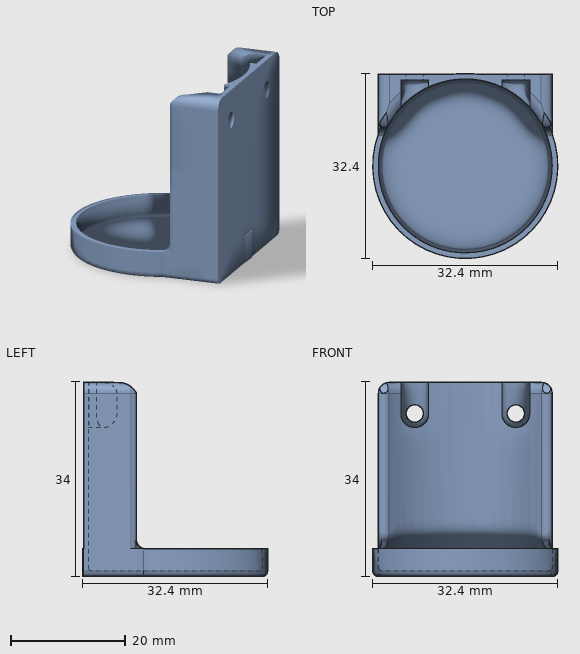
import cadquery as cq
import math

height = 34.0
tray_radius = 16.2
wall = 1.0
tray_height = 4.9
floor_thickness = 1.0
floor_fillet = 0.6
bottom_fillet = 1.0
back_y = 16.05
tip_radius = 1.0
tip_base_fillet = 1.5
top_fillet = 1.95
nose_back_y = 10.2
nose_sag = 0.78
slot_x = 8.85
slot_width = 4.9
slot_web = 1.0
hole_diameter = 3.0
hole_z = 28.52
clearance = 0.35

bore_radius = tray_radius - wall
half_width = bore_radius

tip_x = half_width - tip_radius
tip_y = math.sqrt((bore_radius + tip_radius) ** 2 - tip_x ** 2)


def cylinder(radius, bottom, top):
    return cq.Workplane("XY").workplane(offset=bottom).circle(radius).extrude(top - bottom)


def make_base():
    """Solid tray disc joined to the foot of the plate, rounded below except at the back."""
    side_end_y = math.sqrt(tray_radius ** 2 - half_width ** 2)
    outline = (
        cq.Workplane("XY")
        .moveTo(half_width, back_y)
        .lineTo(half_width, side_end_y)
        .threePointArc((0, -tray_radius), (-half_width, side_end_y))
        .lineTo(-half_width, back_y)
        .close()
    )
    base = outline.extrude(tray_height)
    front_region = cq.selectors.BoxSelector(
        (-height, -height, -clearance), (height, back_y - clearance, clearance)
    )
    base = base.edges(front_region).fillet(bottom_fillet)
    behind_plate = cq.Workplane("XY").box(2 * half_width, height, height).translate(
        (0, back_y + height / 2, 0)
    )
    back_bulge = cylinder(tray_radius, 0, tray_height).intersect(behind_plate)
    return base.union(back_bulge)


def make_plate():
    """Upright plate whose cheeks stop at the tip centres."""
    plate_half = (
        cq.Workplane("XY")
        .workplane(offset=bottom_fillet)
        .moveTo(0, back_y)
        .lineTo(half_width, back_y)
        .lineTo(half_width, tip_y)
        .lineTo(tip_x, tip_y)
        .lineTo(0, 0)
        .close()
        .extrude(height - bottom_fillet)
    )
    return plate_half.union(plate_half.mirror("YZ"))


def fillet_waste(edge, direction):
    """XZ profile removed to round a top edge at x = edge; material lies along direction."""
    drop = top_fillet * (1 - math.sqrt(0.5))
    return (
        cq.Workplane("XZ")
        .moveTo(edge, height - top_fillet)
        .threePointArc(
            (edge + direction * drop, height - drop),
            (edge + direction * top_fillet, height),
        )
        .lineTo(edge, height)
        .close()
    )


def round_top(plate):
    """Round the top side edges, and the bore edge from each side as far as its slot."""
    side_waste = fillet_waste(half_width, -1).extrude(height, both=True)
    bore_waste = fillet_waste(bore_radius, 1).revolve(360, (0, 0, 0), (0, 1, 0))
    outer_zone = cq.Workplane("XY").box(height, height, 2 * height).translate(
        (slot_x + height / 2, height / 2, height)
    )
    waste = side_waste.union(bore_waste.intersect(outer_zone))
    return plate.cut(waste).cut(waste.mirror("YZ"))


def make_tip():
    """Round front edge of the right cheek, domed on top and flared onto the tray rim."""
    fillet_center_z = height - top_fillet
    arc_offset = top_fillet - tip_radius

    def dome_z(radius):
        return fillet_center_z + math.sqrt(top_fillet ** 2 - (radius + arc_offset) ** 2)

    column = (
        cq.Workplane("XZ")
        .moveTo(0, bottom_fillet)
        .lineTo(tip_radius, bottom_fillet)
        .lineTo(tip_radius, fillet_center_z)
        .threePointArc((tip_radius / 2, dome_z(tip_radius / 2)), (0, dome_z(0)))
        .close()
        .revolve(360, (0, 0, 0), (0, 1, 0))
    )
    flare_inset = tip_base_fillet * (1 - math.sqrt(0.5))
    flare = (
        cq.Workplane("XZ")
        .moveTo(0, bottom_fillet)
        .lineTo(tip_radius + tip_base_fillet, bottom_fillet)
        .lineTo(tip_radius + tip_base_fillet, tray_height)
        .threePointArc(
            (tip_radius + flare_inset, tray_height + flare_inset),
            (tip_radius, tray_height + tip_base_fillet),
        )
        .lineTo(0, tray_height + tip_base_fillet)
        .close()
        .revolve(360, (0, 0, 0), (0, 1, 0))
    )
    tip_place = (tip_x, tip_y, 0)
    side_limit = cq.Workplane("XY").box(2 * half_width, 2 * height, 2 * height)
    rim_limit = cylinder(tray_radius, bottom_fillet, height)
    flare = flare.translate(tip_place).intersect(side_limit).intersect(rim_limit)
    return column.translate(tip_place).union(flare)


def curve_noses(upright):
    """Curve the top of both cheeks down toward their front edges."""
    waste = (
        cq.Workplane("YZ")
        .moveTo(nose_back_y, height)
        .threePointArc(
            (tip_y, height - nose_sag),
            (tip_y - tip_radius, height - top_fillet),
        )
        .lineTo(0, height - top_fillet)
        .lineTo(0, height)
        .close()
        .extrude(half_width, both=True)
    )
    return upright.cut(waste)


def cut_screw_slot(body, x):
    """Round-bottomed slot open to the top and the bore, with a through hole behind it."""
    slot_y = back_y - slot_web
    face = cq.Workplane("XZ", origin=(x, slot_y, hole_z))
    slot = face.circle(slot_width / 2).extrude(slot_y)
    shaft = face.rect(slot_width, height - hole_z + clearance, centered=(True, False)).extrude(slot_y)
    hole = face.circle(hole_diameter / 2).extrude(slot_web + clearance, both=True)
    return body.cut(slot).cut(shaft).cut(hole)


bore = cylinder(bore_radius, floor_thickness, height + clearance).faces("<Z").edges().fillet(floor_fillet)

tip = make_tip()
upright = round_top(make_plate()).union(tip).union(tip.mirror("YZ"))
body = make_base().union(curve_noses(upright))
body = body.cut(bore)
for side in (-1, 1):
    body = cut_screw_slot(body, side * slot_x)

result = body.clean()